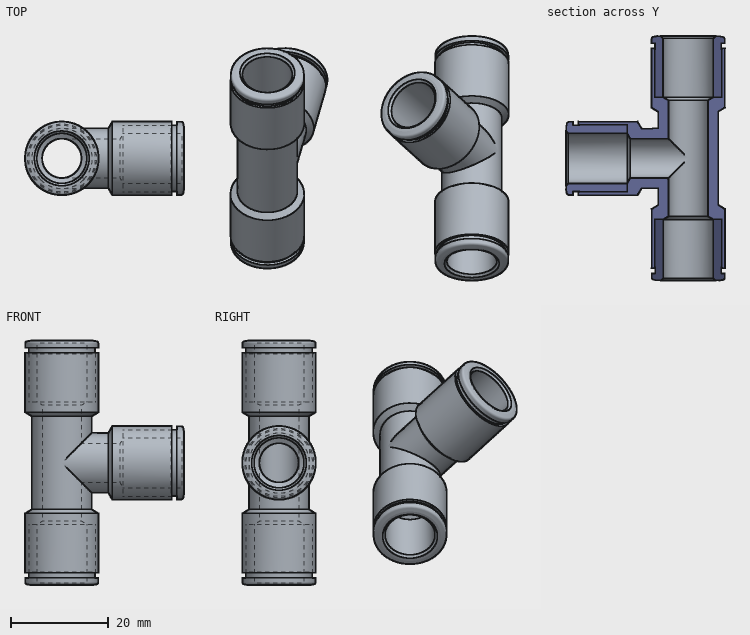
import cadquery as cq
import math

arm_length = 25.0
arm_directions = [(0, 0, 1), (0, 0, -1), (1, 0, 0)]

trunk_diameter = 12.3
passage_diameter = 8.0
cup_diameter = 15.1
cup_start = 9.5
flare_length = 0.85
exposed_collet = 2.5
cup_face = arm_length - exposed_collet
mouth_chamfer = 0.25

flange_diameter = 15.0
flange_thickness = 1.5
flange_edge_radius = 0.5
sleeve_diameter = 13.6
collet_bore = 10.2
rim_diameter = 12.6
face_slope = math.radians(10.5)
lead_in_diameter = 11.2
lead_in_depth = 0.5

collet_seat = 12.5
funnel_slope = math.radians(30)
funnel_length = (collet_bore - passage_diameter) / 2 * math.tan(funnel_slope)


def revolve_profile(profile):
    """Turn a closed (radius, height) outline into a solid around Z."""
    return profile.close().revolve(360, (0, 0, 0), (0, 1, 0))


def aim_along(body, direction):
    """Turn a body built along +Z so that it points along the given direction."""
    angle = math.degrees(math.acos(direction[2]))
    return body.rotate((0, 0, 0), (0, 1, 0), angle)


def make_arm_outside():
    cup_radius = cup_diameter / 2
    trunk_radius = trunk_diameter / 2
    return revolve_profile(
        cq.Workplane("XZ")
        .moveTo(0, 0)
        .lineTo(trunk_radius, 0)
        .lineTo(trunk_radius, cup_start)
        .lineTo(cup_radius, cup_start + flare_length)
        .lineTo(cup_radius, cup_face)
        .lineTo(0, cup_face)
    )


def make_arm_cavity():
    passage_radius = passage_diameter / 2
    sleeve_radius = sleeve_diameter / 2
    return revolve_profile(
        cq.Workplane("XZ")
        .moveTo(0, 0)
        .lineTo(passage_radius, 0)
        .lineTo(passage_radius, collet_seat - funnel_length)
        .lineTo(collet_bore / 2, collet_seat)
        .lineTo(sleeve_radius, collet_seat)
        .lineTo(sleeve_radius, cup_face - mouth_chamfer)
        .lineTo(sleeve_radius + mouth_chamfer, cup_face)
        .lineTo(0, cup_face)
    )


def make_housing():
    housing = cq.Workplane("XY")
    for direction in arm_directions:
        housing = housing.union(aim_along(make_arm_outside(), direction))
    for direction in arm_directions:
        housing = housing.cut(aim_along(make_arm_cavity(), direction))
    return housing


def make_collet():
    """Release collet along +Z: a sleeve with a round-edged flange and a lead-in bore."""
    flange_radius = flange_diameter / 2
    sleeve_radius = sleeve_diameter / 2
    flange_base = arm_length - flange_thickness
    rim_radius = rim_diameter / 2

    edge_centre_radius = flange_radius - flange_edge_radius
    face_end_radius = edge_centre_radius + flange_edge_radius * math.sin(face_slope)
    face_end_height = arm_length - (face_end_radius - rim_radius) * math.tan(face_slope)
    edge_centre_height = face_end_height - flange_edge_radius * math.cos(face_slope)
    arc_middle_angle = (math.pi / 2 + face_slope) / 2
    arc_middle = (
        edge_centre_radius + flange_edge_radius * math.sin(arc_middle_angle),
        edge_centre_height + flange_edge_radius * math.cos(arc_middle_angle),
    )
    return revolve_profile(
        cq.Workplane("XZ")
        .moveTo(collet_bore / 2, collet_seat)
        .lineTo(sleeve_radius, collet_seat)
        .lineTo(sleeve_radius, flange_base)
        .lineTo(flange_radius, flange_base)
        .lineTo(flange_radius, edge_centre_height)
        .threePointArc(arc_middle, (face_end_radius, face_end_height))
        .lineTo(rim_radius, arm_length)
        .lineTo(lead_in_diameter / 2, arm_length)
        .lineTo(collet_bore / 2, arm_length - lead_in_depth)
    )


housing = make_housing()
collets = [aim_along(make_collet(), direction) for direction in arm_directions]

result = cq.Compound.makeCompound([housing.val(), *[collet.val() for collet in collets]])